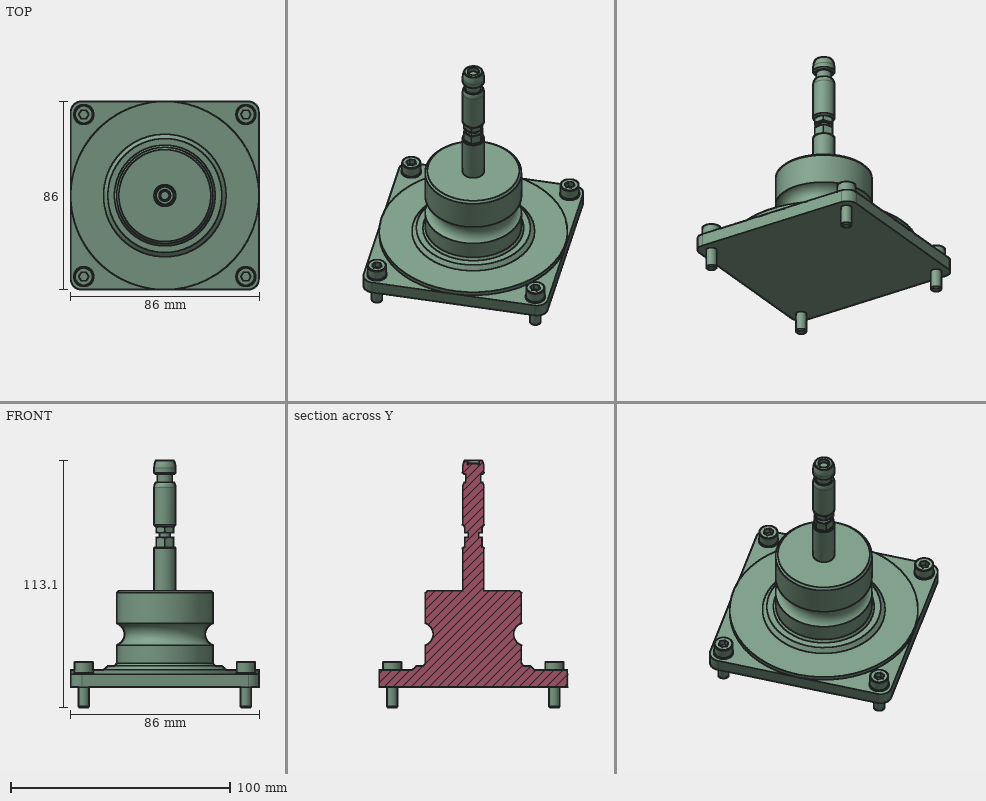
import cadquery as cq
import math


plate_side = 86.0
plate_thickness = 6.0
corner_radius = 5.0

disk_diameter = plate_side
disk_top = plate_thickness + 1.9
ring_base_diameter = 56.0
ring_top_diameter = 52.0
ring_top = disk_top + 1.8
collar_base_diameter = 46.0
collar_top = ring_top + 1.1
knob_diameter = 44.0
knob_chamfer = 1.0
knob_top = 44.0
groove_bottom = 19.2
groove_top = 29.1
groove_depth = 3.5

stem_diameter = 10.0
stem_end_diameter = 8.5
post_top = 63.9
post_chamfer = 0.5
stud_diameter = 5.0
plug_bottom = 73.3
plug_chamfer = 0.8
shoulder_start = 91.2
shoulder_top = 93.4
neck_diameter = 7.0
head_bottom = 97.2
head_bottom_diameter = 8.5
head_band_bottom = 98.0
head_band_top = 100.2
overall_top = 103.6
head_end_diameter = 8.4
head_edge_chamfer = 0.2

hex_across_flats = 8.0
hex_end_diameter = 7.7
hex_end_height = 0.3
lower_hex_top = 68.4
upper_hex_bottom = 70.3

bore_diameter = 5.2
bore_depth = 2.0
stud_end_diameter = 4.0
stud_end_height = 0.6

screw_pitch = 74.0
shank_diameter = 5.0
shank_end_z = -9.5
shank_end_chamfer = 0.7
flange_diameter = 9.0
flange_rim_height = 0.2
flange_height = 0.6
cap_diameter = 8.5
cap_height = 5.5
cap_chamfer = 0.28
socket_across_flats = 4.0
socket_depth = 2.8

hex_corners_to_flats = 2 / math.sqrt(3)


def cylinder(diameter, bottom, top):
    return cq.Workplane("XY").workplane(offset=bottom).circle(diameter / 2).extrude(top - bottom)


def cone(bottom_diameter, top_diameter, bottom, top):
    profile = (
        cq.Workplane("XZ")
        .moveTo(0, bottom)
        .lineTo(bottom_diameter / 2, bottom)
        .lineTo(top_diameter / 2, top)
        .lineTo(0, top)
        .close()
    )
    return profile.revolve(360, (0, 0, 0), (0, 1, 0))


def hex_prism(across_flats, bottom, top):
    """Hexagonal prism with flats facing +Y and -Y."""
    corner_diameter = across_flats * hex_corners_to_flats
    return cq.Workplane("XY").workplane(offset=bottom).polygon(6, corner_diameter).extrude(top - bottom)


def make_plate():
    plate = cq.Workplane("XY").rect(plate_side, plate_side).extrude(plate_thickness)
    return plate.edges("|Z").fillet(corner_radius)


def make_body():
    disk = cylinder(disk_diameter, plate_thickness, disk_top)
    ring = cone(ring_base_diameter, ring_top_diameter, disk_top, ring_top)
    collar = cone(collar_base_diameter, knob_diameter, ring_top, collar_top)
    knob_radius = knob_diameter / 2
    knob = (
        cq.Workplane("XZ")
        .moveTo(0, collar_top)
        .lineTo(knob_radius, collar_top)
        .lineTo(knob_radius, groove_bottom)
        .threePointArc(
            (knob_radius - groove_depth, (groove_bottom + groove_top) / 2),
            (knob_radius, groove_top),
        )
        .lineTo(knob_radius, knob_top - knob_chamfer)
        .lineTo(knob_radius - knob_chamfer, knob_top)
        .lineTo(0, knob_top)
        .close()
        .revolve(360, (0, 0, 0), (0, 1, 0))
    )
    return disk.union(ring).union(collar).union(knob)


def make_post():
    return cylinder(stem_diameter, knob_top, post_top).faces(">Z").edges().chamfer(post_chamfer)


def make_plug():
    """Upper stem, with rounded shoulder, coupling neck and rounded head."""
    stem_radius = stem_diameter / 2
    end_radius = stem_end_diameter / 2
    neck_radius = neck_diameter / 2
    head_end_radius = head_end_diameter / 2
    plug = (
        cq.Workplane("XZ")
        .moveTo(0, plug_bottom)
        .lineTo(end_radius, plug_bottom)
        .lineTo(stem_radius, plug_bottom + plug_chamfer)
        .lineTo(stem_radius, shoulder_start)
        .tangentArcPoint((end_radius, shoulder_top), relative=False)
        .lineTo(neck_radius, shoulder_top)
        .lineTo(neck_radius, head_bottom)
        .lineTo(head_bottom_diameter / 2, head_bottom)
        .lineTo(stem_radius, head_band_bottom)
        .lineTo(stem_radius, head_band_top)
        .tangentArcPoint((head_end_radius, overall_top - head_edge_chamfer), relative=False)
        .lineTo(head_end_radius - head_edge_chamfer, overall_top)
        .lineTo(0, overall_top)
        .close()
        .revolve(360, (0, 0, 0), (0, 1, 0))
    )
    bore_floor = overall_top - bore_depth
    bore = cylinder(bore_diameter, bore_floor, overall_top)
    stud_end = cone(stud_diameter, stud_end_diameter, bore_floor, bore_floor + stud_end_height)
    return plug.cut(bore).union(stud_end)


def make_stud():
    """Stud joining post and plug, with a hex next to each; exposed hex ends are conical."""
    corner_diameter = hex_across_flats * hex_corners_to_flats
    lower_cone_start = lower_hex_top - hex_end_height
    upper_cone_start = upper_hex_bottom + hex_end_height
    plug_cone_start = plug_bottom - hex_end_height

    lower_limit = cylinder(corner_diameter, post_top, lower_cone_start).union(
        cone(corner_diameter, hex_end_diameter, lower_cone_start, lower_hex_top)
    )
    upper_limit = (
        cone(hex_end_diameter, corner_diameter, upper_hex_bottom, upper_cone_start)
        .union(cylinder(corner_diameter, upper_cone_start, plug_cone_start))
        .union(cone(corner_diameter, hex_end_diameter, plug_cone_start, plug_bottom))
    )
    lower_hex = hex_prism(hex_across_flats, post_top, lower_hex_top)
    upper_hex = hex_prism(hex_across_flats, upper_hex_bottom, plug_bottom)

    stud = cylinder(stud_diameter, post_top, plug_bottom)
    for hex_body, limit in ((lower_hex, lower_limit), (upper_hex, upper_limit)):
        stud = stud.union(hex_body.rotate((0, 0, 0), (0, 0, 1), 90).intersect(limit))
    return stud


def make_screw():
    cap_top = plate_thickness + cap_height
    shank = cylinder(shank_diameter, shank_end_z, plate_thickness).faces("<Z").chamfer(shank_end_chamfer)
    flange_rim_top = plate_thickness + flange_rim_height
    flange_rim = cylinder(flange_diameter, plate_thickness, flange_rim_top)
    flange_cone = cone(flange_diameter, cap_diameter, flange_rim_top, plate_thickness + flange_height)
    cap = cylinder(cap_diameter, plate_thickness, cap_top).faces(">Z").chamfer(cap_chamfer)
    socket = hex_prism(socket_across_flats, cap_top - socket_depth, cap_top)
    return shank.union(flange_rim).union(flange_cone).union(cap).cut(socket)


result = make_plate().union(make_body()).union(make_post()).union(make_stud()).union(make_plug())

screw = make_screw()
for x_side in (-1, 1):
    for y_side in (-1, 1):
        result = result.union(screw.translate((x_side * screw_pitch / 2, y_side * screw_pitch / 2, 0)))